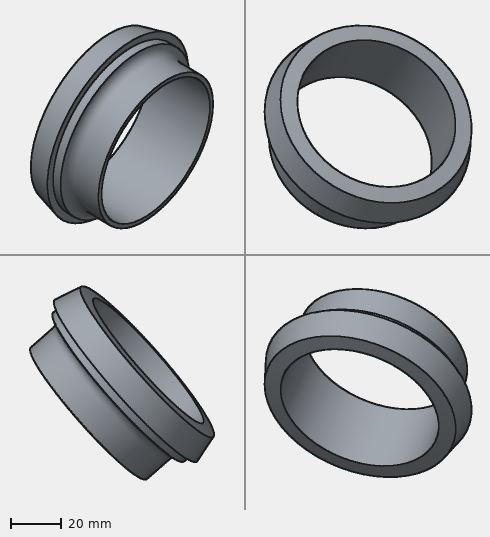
import cadquery as cq

total_length = 32.0
rim_radius = 86 / 2
flange_radius = 79.0 / 2
sleeve_radius = 70.0 / 2
bore_radius = 66.0 / 2

land_radius = 33.5
front_edge_radius = 39.9
front_cone_depth = 0.6
rim_x = 12.0

flange_end_x = 16.0
fillet_radius = 3.95

section = (
    cq.Workplane("XY")
    .moveTo(0, bore_radius)
    .lineTo(0, land_radius)
    .lineTo(front_cone_depth, front_edge_radius)
    .lineTo(rim_x, rim_radius)
    .lineTo(rim_x, flange_radius)
    .lineTo(flange_end_x, flange_radius)
    .lineTo(flange_end_x, sleeve_radius + fillet_radius)
    .radiusArc((flange_end_x + fillet_radius, sleeve_radius), -fillet_radius)
    .lineTo(total_length, sleeve_radius)
    .lineTo(total_length, bore_radius)
    .close()
)

result = section.revolve(360, (0, 0, 0), (1, 0, 0))